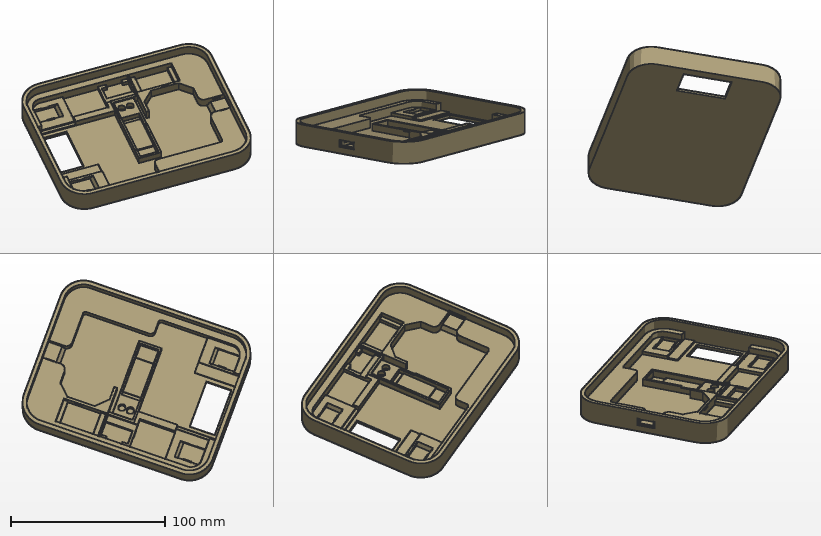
import cadquery as cq
LENGTH = 130.0
WIDTH = 102.0
HEIGHT = 14.5
WALL = 2.7
CORNER_RADIUS = 16.0
INNER_WIDTH = WIDTH - 2 * WALL
INNER_LENGTH = LENGTH - 2 * WALL

FLOOR_Z = 2.0
STEP_Z = 3.0
PAD_Z = 4.0
LEDGE_Z = 4.5
TERMINAL_Z = 5.6
RIDGE_Z = 6.0
RIM_Z = 6.5
DECK_Z = 8.0

SUNKEN_HALF_WIDTH = 43.7
SUNKEN_BOTTOM = -57.7
SUNKEN_CORNER_RADIUS = 7.0
BAY_WALL_X = -27.4
BOARD_LEFT = -25.6
BOARD_CHAMFER = 7.5
BOARD_TOP_LEFT = 46.0
BOARD_TOP_RIGHT = 47.8
BOARD_RIGHT = 32.4
BOARD_STEP_Y = -0.1
TAB_RIGHT = -9.1
TAB_TOP = 12.1
TAB_BOTTOM = 10.1
SLOT_MOUTH_FILLET = 4.0
STEP_FILLET = 3.0
INSIDE_FILLET = 2.0

TOP_BAY_TOP = 40.2
TOP_BAY_WELL_TOP = 37.5
TOP_BAY_WELL_BOTTOM = 14.7
DIVIDER_TOP = 11.0
DIVIDER_BOTTOM = 9.8
SHELF_BOTTOM = -10.5
RECESS_LEFT = -41.3
RECESS_RIGHT = -32.0
RECESS_BOTTOM = -8.7
RECESS_WIDE_TOP = 5.7
RECESS_WIDE_BOTTOM = -5.1
RIDGE_LEFT = -23.3
RIDGE_RIGHT = -18.8

LEFT_PAD_TOP = -35.0
LEFT_PAD_RIGHT = -21.0
RIGHT_PAD_TOP = -33.3
RIGHT_PAD_LEFT = 26.1
RIGHT_STEP_LEFT = 18.8

BOX_RIGHT = 26.1
BOX_TOP = 7.5
BOX_BOTTOM = -7.9
BOX_WALL = 1.4
WELL_LEFT = -11.7
BED_LEFT = -8.8
BED_RIGHT = 15.6
LOW_RIM_RIGHT = -0.6
TERMINAL_HOLE_DIAMETER = 4.7
TERMINAL_HOLE_X = -19.9
TERMINAL_HOLE_PITCH = 5.8

WINDOW_WIDTH = 32.2
WINDOW_TOP = -42.4
WINDOW_BOTTOM = -59.5

TOP_SLOT_HALF_WIDTH = 6.1
TOP_SLOT_Z = 4.4
TOP_SLOT_ROOF_Z = 9.0
TOP_SLOT_START = 53.4
TOP_SLOT_END = 63.6
WEB_THICKNESS = 0.6
WEB_INSET = 1.0

PAD_SLOT_X = 33.48
PAD_SLOT_HALF_WIDTH = 5.65
PAD_SLOT_TOP = -40.3
PAD_SLOT_BOTTOM = -57.3

BUMP_LENGTH = 5.0
BUMP_DEPTH = 0.5
HIGH_BUMP_Z = 6.9
TOP_SLOT_BUMP_Y = 57.6
PAD_SLOT_BUMP_Y = -48.9
TOP_BAY_BUMP_Y = 29.9
SHELF_BUMP_X = -33.9


def block(left, right, bottom, top, low, high):
    """Box between two X, two Y and two Z values."""
    size = (right - left, top - bottom, high - low)
    return cq.Workplane("XY").box(*size, centered=False).translate((left, bottom, low))


def rounded_slab(width, length, radius, low, high):
    slab = cq.Workplane("XY").workplane(offset=low).rect(width, length).extrude(high - low)
    return slab.edges("|Z").fillet(radius)


def fillet_corner(solid, x, y, radius):
    """Round the vertical edge that stands at (x, y)."""
    margin = 0.1
    low = (x - margin, y - margin, -HEIGHT)
    high = (x + margin, y + margin, 2 * HEIGHT)
    return solid.edges("|Z").edges(cq.selectors.BoxSelector(low, high)).fillet(radius)


def lengthwise_prism(profile, x, half_width):
    """Profile of (y, z) points, swept along X to both sides of x."""
    prism = cq.Workplane("YZ").polyline(profile).close().extrude(half_width, both=True)
    return prism.translate((x, 0, 0))


def make_shell():
    outside = rounded_slab(WIDTH, LENGTH, CORNER_RADIUS, 0, HEIGHT)
    inside = rounded_slab(INNER_WIDTH, INNER_LENGTH, CORNER_RADIUS - WALL, DECK_Z, HEIGHT)
    return outside.cut(inside)


def make_sunken_space():
    """Space between the floor and the deck level, without the bays above the divider."""
    outline = [
        (TAB_RIGHT, TAB_BOTTOM),
        (TAB_RIGHT, TAB_TOP),
        (BOARD_LEFT + BOARD_CHAMFER, TAB_TOP),
        (BOARD_LEFT, TAB_TOP + BOARD_CHAMFER),
        (BOARD_LEFT, BOARD_TOP_LEFT - BOARD_CHAMFER),
        (BOARD_LEFT + BOARD_CHAMFER, BOARD_TOP_LEFT),
        (-TOP_SLOT_HALF_WIDTH, BOARD_TOP_LEFT),
        (-TOP_SLOT_HALF_WIDTH, TOP_SLOT_START),
        (TOP_SLOT_HALF_WIDTH, TOP_SLOT_START),
        (TOP_SLOT_HALF_WIDTH, BOARD_TOP_RIGHT),
        (BOARD_RIGHT, BOARD_TOP_RIGHT),
        (BOARD_RIGHT, BOARD_STEP_Y),
        (SUNKEN_HALF_WIDTH, BOARD_STEP_Y),
        (SUNKEN_HALF_WIDTH, SUNKEN_BOTTOM),
        (-SUNKEN_HALF_WIDTH, SUNKEN_BOTTOM),
        (-SUNKEN_HALF_WIDTH, TAB_BOTTOM),
    ]
    space = cq.Workplane("XY").workplane(offset=FLOOR_Z).polyline(outline).close()
    space = space.extrude(DECK_Z - FLOOR_Z)
    rounded_corners = [
        (-TOP_SLOT_HALF_WIDTH, BOARD_TOP_LEFT, SLOT_MOUTH_FILLET),
        (TOP_SLOT_HALF_WIDTH, BOARD_TOP_RIGHT, SLOT_MOUTH_FILLET),
        (BOARD_RIGHT, BOARD_STEP_Y, STEP_FILLET),
        (BOARD_RIGHT, BOARD_TOP_RIGHT, INSIDE_FILLET),
        (SUNKEN_HALF_WIDTH, BOARD_STEP_Y, INSIDE_FILLET),
        (SUNKEN_HALF_WIDTH, SUNKEN_BOTTOM, SUNKEN_CORNER_RADIUS),
        (-SUNKEN_HALF_WIDTH, SUNKEN_BOTTOM, SUNKEN_CORNER_RADIUS),
    ]
    for x, y, radius in rounded_corners:
        space = fillet_corner(space, x, y, radius)
    front = block(LEFT_PAD_RIGHT, RIGHT_PAD_LEFT, -INNER_LENGTH / 2, SUNKEN_BOTTOM, FLOOR_Z, DECK_Z)
    return space.union(front)


def make_top_bay():
    bay = block(-SUNKEN_HALF_WIDTH, BAY_WALL_X, DIVIDER_BOTTOM, TOP_BAY_TOP, LEDGE_Z, DECK_Z)
    well = block(
        -SUNKEN_HALF_WIDTH, BAY_WALL_X, TOP_BAY_WELL_BOTTOM, TOP_BAY_WELL_TOP, FLOOR_Z, DECK_Z
    )
    return bay.union(well)


def make_divider():
    return block(-SUNKEN_HALF_WIDTH, BAY_WALL_X, DIVIDER_BOTTOM, DIVIDER_TOP, 0, RIM_Z)


def make_shelf():
    """Middle bay: a shelf around a recess that is wider in its middle stretch."""
    shelf = block(-SUNKEN_HALF_WIDTH, BAY_WALL_X, SHELF_BOTTOM, DIVIDER_BOTTOM, 0, LEDGE_Z)
    recess = block(RECESS_LEFT, RECESS_RIGHT, RECESS_BOTTOM, DIVIDER_BOTTOM, FLOOR_Z, LEDGE_Z)
    wide_part = block(
        -SUNKEN_HALF_WIDTH, RECESS_LEFT, RECESS_WIDE_BOTTOM, RECESS_WIDE_TOP, FLOOR_Z, LEDGE_Z
    )
    return shelf.cut(recess).cut(wide_part)


def make_ridge():
    long_leg = block(RIDGE_LEFT, RIDGE_RIGHT, LEFT_PAD_TOP, BOX_BOTTOM, 0, RIDGE_Z)
    short_leg = block(BAY_WALL_X, RIDGE_LEFT, SHELF_BOTTOM, BOX_BOTTOM, 0, RIDGE_Z)
    return long_leg.union(short_leg)


def make_box():
    box = block(BAY_WALL_X, BOX_RIGHT, BOX_BOTTOM, BOX_TOP, 0, RIM_Z)
    box = box.union(block(BAY_WALL_X, BOARD_LEFT, BOX_TOP, TAB_BOTTOM, 0, RIM_Z))
    inner_bottom = BOX_BOTTOM + BOX_WALL
    inner_top = BOX_TOP - BOX_WALL
    terminal_space = block(BOARD_LEFT, WELL_LEFT, inner_bottom, BOX_TOP, TERMINAL_Z, RIM_Z)
    low_rim_space = block(WELL_LEFT, LOW_RIM_RIGHT, inner_top, BOX_TOP, TERMINAL_Z, RIM_Z)
    well = block(WELL_LEFT, BOX_RIGHT - BOX_WALL, inner_bottom, inner_top, FLOOR_Z, RIM_Z)
    bed = block(BED_LEFT, BED_RIGHT, inner_bottom, inner_top, 0, STEP_Z)
    box = box.cut(terminal_space).cut(low_rim_space).cut(well).union(bed)
    holes = (
        cq.Workplane("XY").workplane(offset=FLOOR_Z).center(TERMINAL_HOLE_X, 0)
        .rarray(1.3, TERMINAL_HOLE_PITCH, 1, 2)
        .circle(TERMINAL_HOLE_DIAMETER / 2).extrude(RIM_Z - FLOOR_Z)
    )
    return box.cut(holes)


def make_pad_slot(x):
    """Slot in a corner pad, with a 45 degree ramp at its top end."""
    profile = [
        (PAD_SLOT_BOTTOM, FLOOR_Z),
        (PAD_SLOT_TOP - (PAD_Z - FLOOR_Z), FLOOR_Z),
        (PAD_SLOT_TOP, PAD_Z),
        (PAD_SLOT_BOTTOM, PAD_Z),
    ]
    return lengthwise_prism(profile, x, PAD_SLOT_HALF_WIDTH)


def make_pads(sunken_space):
    end_wall_y = -INNER_LENGTH / 2
    pads = (
        block(-SUNKEN_HALF_WIDTH, LEFT_PAD_RIGHT, SUNKEN_BOTTOM, LEFT_PAD_TOP, FLOOR_Z, PAD_Z)
        .union(block(LEFT_PAD_RIGHT, RIDGE_RIGHT, end_wall_y, LEFT_PAD_TOP, FLOOR_Z, STEP_Z))
        .union(block(RIGHT_PAD_LEFT, SUNKEN_HALF_WIDTH, SUNKEN_BOTTOM, RIGHT_PAD_TOP, FLOOR_Z, PAD_Z))
        .union(block(RIGHT_STEP_LEFT, RIGHT_PAD_LEFT, end_wall_y, RIGHT_PAD_TOP, FLOOR_Z, STEP_Z))
    )
    for x in (-PAD_SLOT_X, PAD_SLOT_X):
        pads = pads.cut(make_pad_slot(x))
    return pads.intersect(sunken_space)


def make_top_slot():
    """Slot into the end wall, a recess outside it, and a narrower opening in the web between."""
    half_width = TOP_SLOT_HALF_WIDTH
    opening_half_width = half_width - WEB_INSET
    web_outside = TOP_SLOT_END + WEB_THICKNESS
    outer_face = LENGTH / 2
    slot = block(-half_width, half_width, TOP_SLOT_START, TOP_SLOT_END, TOP_SLOT_Z, TOP_SLOT_ROOF_Z)
    recess = block(-half_width, half_width, web_outside, outer_face, TOP_SLOT_Z, TOP_SLOT_ROOF_Z)
    opening = block(
        -opening_half_width, opening_half_width,
        TOP_SLOT_END, web_outside, TOP_SLOT_Z + WEB_INSET, TOP_SLOT_ROOF_Z,
    )
    return slot.union(recess).union(opening)


def make_top_slot_ramp():
    rise = TOP_SLOT_Z - FLOOR_Z
    profile = [
        (TOP_SLOT_START, FLOOR_Z),
        (TOP_SLOT_START, TOP_SLOT_Z),
        (TOP_SLOT_START - rise, FLOOR_Z),
    ]
    return lengthwise_prism(profile, 0, TOP_SLOT_HALF_WIDTH)


def make_window():
    half_width = WINDOW_WIDTH / 2
    return block(-half_width, half_width, WINDOW_BOTTOM, WINDOW_TOP, 0, FLOOR_Z)


def make_bump(x, y, z, angle, flat_top=False):
    """45 degree ridge on a wall, pointing to +X turned by the angle; z is the height of its tip."""
    profile = [(0, z - BUMP_DEPTH), (BUMP_DEPTH, z)]
    profile.append((0, z) if flat_top else (0, z + BUMP_DEPTH))
    bump = cq.Workplane("XZ").polyline(profile).close().extrude(BUMP_LENGTH / 2, both=True)
    return bump.rotate((0, 0, 0), (0, 0, 1), angle).translate((x, y, 0))


def make_bumps():
    bumps = [
        make_bump(BAY_WALL_X, TOP_BAY_BUMP_Y, HIGH_BUMP_Z, 180),
        make_bump(SHELF_BUMP_X, SHELF_BOTTOM, LEDGE_Z, -90, flat_top=True),
    ]
    for side, angle in ((-1, 0), (1, 180)):
        bumps.append(make_bump(side * TOP_SLOT_HALF_WIDTH, TOP_SLOT_BUMP_Y, HIGH_BUMP_Z, angle))
        for slot_x in (-PAD_SLOT_X, PAD_SLOT_X):
            wall_x = slot_x + side * PAD_SLOT_HALF_WIDTH
            bumps.append(make_bump(wall_x, PAD_SLOT_BUMP_Y, PAD_Z, angle, flat_top=True))
    return bumps


def make_tray():
    sunken_space = make_sunken_space()
    tray = make_shell().cut(sunken_space).cut(make_top_bay()).cut(make_top_slot())
    raised_parts = [
        make_divider(),
        make_shelf(),
        make_ridge(),
        make_box(),
        make_pads(sunken_space),
        make_top_slot_ramp(),
        *make_bumps(),
    ]
    for part in raised_parts:
        tray = tray.union(part)
    return tray.cut(make_window())


tray = make_tray()
result = cq.Compound.makeCompound([tray.val()])